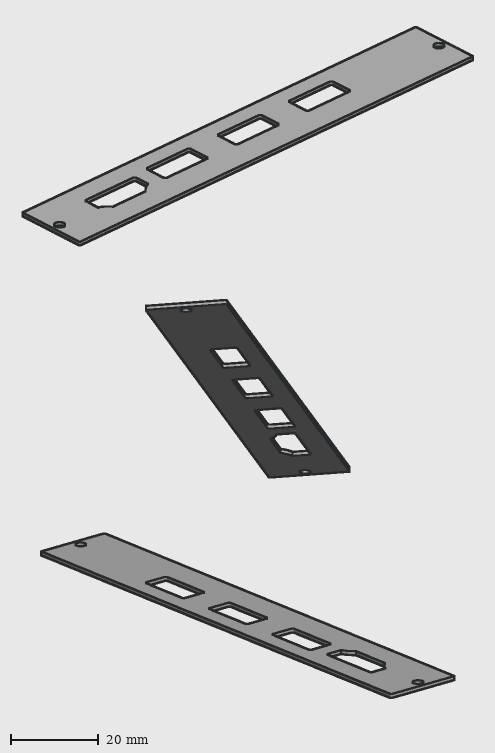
import cadquery as cq
import math

panel_width = 18.9
panel_length = 124.3
panel_thickness = 1.0

hole_diameter = 2.5
hole_x = 0.5
hole_spacing = 119.8

port_width = 6.3
port_length = 13.7
port_count = 3
port_pitch = 22.5
port_x = -1.5
middle_port_y = 1.6

tapered_width = 6.5
tapered_length = 15.8
tapered_left_x = -3.6
tapered_y = -40.1
taper_width = 2.1
taper_length = 2.7
taper_bow = 0.2

panel_corner_radius = 0.1
opening_corner_radius = 0.5


def through_cutter(sketch):
    """Extrude a closed outline through the full panel thickness."""
    return sketch.extrude(panel_thickness, both=True)


def screw_holes():
    centers = [(hole_x, side * hole_spacing / 2) for side in (-1, 1)]
    return through_cutter(cq.Workplane("XY").pushPoints(centers).circle(hole_diameter / 2))


def port_openings():
    middle = (port_count - 1) / 2
    centers = [(port_x, middle_port_y + (i - middle) * port_pitch) for i in range(port_count)]
    ports = through_cutter(cq.Workplane("XY").pushPoints(centers).rect(port_width, port_length))
    return ports.edges("|Z").fillet(opening_corner_radius)


def tapered_opening():
    right_x = tapered_left_x + tapered_width
    taper_x = right_x - taper_width
    half_length = tapered_length / 2
    taper_y = half_length - taper_length

    chord = math.hypot(taper_width, taper_length)
    bow_x = (taper_x + right_x) / 2 - taper_bow * taper_length / chord
    bow_y = (half_length + taper_y) / 2 - taper_bow * taper_width / chord

    outline = (
        cq.Workplane("XY")
        .center(0, tapered_y)
        .moveTo(tapered_left_x, -half_length)
        .lineTo(taper_x, -half_length)
        .threePointArc((bow_x, -bow_y), (right_x, -taper_y))
        .lineTo(right_x, taper_y)
        .threePointArc((bow_x, bow_y), (taper_x, half_length))
        .lineTo(tapered_left_x, half_length)
        .close()
    )
    return through_cutter(outline).edges("|Z and <X").fillet(opening_corner_radius)


panel = cq.Workplane("XY").box(panel_width, panel_length, panel_thickness)
panel = panel.edges("|Z").fillet(panel_corner_radius)
result = panel.cut(screw_holes()).cut(port_openings()).cut(tapered_opening())